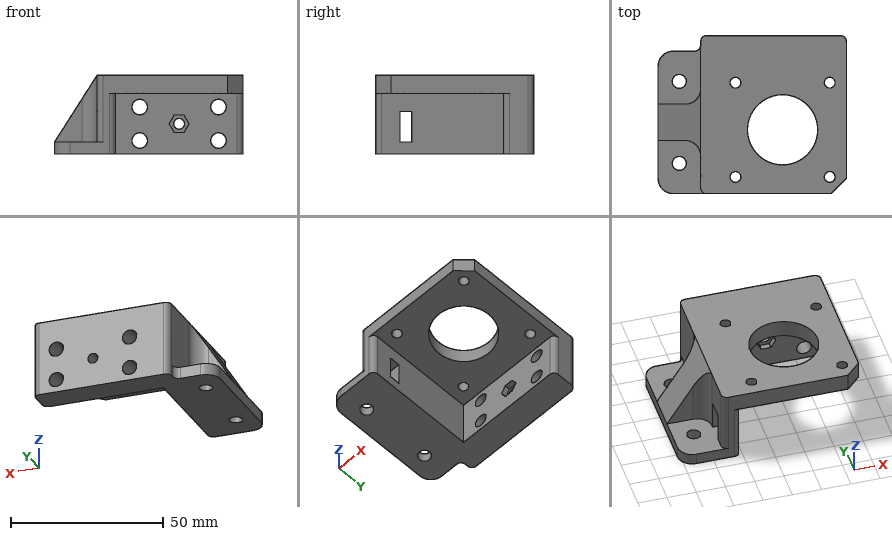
import cadquery as cq

LENGTH = 62.0
WIDTH = 52.0
HEIGHT = 26.0

FOOT_THICK = 4.0
FOOT_WIDTH = 46.95
TOP_THICK = 6.0
SIDE_THICK = 6.0
BACK_THICK = 10.0
WALL_X = 14.0
INNER_X = WALL_X + SIDE_THICK
INNER_Y = WIDTH - BACK_THICK
UNDERSIDE_Z = HEIGHT - TOP_THICK

SMALL_RADIUS = 2.0
LARGE_RADIUS = 5.0
CHAMFER = 5.0

MOTOR_X = 41.0
MOTOR_Y = 21.0
MOTOR_PITCH = 31.0
MOTOR_BORE = 23.0
SCREW_HOLE = 3.5

FOOT_HOLE = 4.5
FOOT_HOLE_X = WALL_X / 2
FOOT_HOLE_PITCH = 27.0
FOOT_MID_Y = FOOT_WIDTH / 2
RIB_WIDTH = 11.95

BACK_MID_X = 41.0
BACK_MID_Z = 10.0
BACK_PITCH_X = 25.9
BACK_PITCH_Z = 11.05
BACK_HOLE = 5.0
NUT_FLATS = 5.65
NUT_DEPTH = 2.0

WINDOW_Y0 = 5.0
WINDOW_Y1 = 11.85
WINDOW_TOP = 14.0
WINDOW_RADIUS = 6.0 / 2


def block(x0, x1, y0, y1, z0, z1):
    return cq.Workplane("XY").box(x1 - x0, y1 - y0, z1 - z0, centered=False).translate((x0, y0, z0))


def corner_piece(x, y, x_side, y_side, radius, z0, z1):
    """Vertical piece between the corner (x, y) and an arc tangent to the given sides."""
    square = (
        cq.Workplane("XY", origin=(x + x_side * radius / 2, y + y_side * radius / 2, z0))
        .rect(radius, radius)
        .extrude(z1 - z0)
    )
    round_cut = (
        cq.Workplane("XY", origin=(x + x_side * radius, y + y_side * radius, z0))
        .circle(radius)
        .extrude(z1 - z0)
    )
    return square.cut(round_cut)


def make_body():
    """Top plate with a side wall and a back wall, open to the front and right, with rounded wall ends."""
    body = block(WALL_X, LENGTH, 0, WIDTH, 0, HEIGHT)
    body = body.edges("|Z and (<X or >Y)").fillet(SMALL_RADIUS)
    cavity = block(INNER_X, LENGTH, 0, INNER_Y, 0, UNDERSIDE_Z)
    cavity = cavity.union(corner_piece(INNER_X, 0, -1, 1, SMALL_RADIUS, 0, UNDERSIDE_Z))
    cavity = cavity.union(corner_piece(LENGTH, INNER_Y, -1, 1, SMALL_RADIUS, 0, UNDERSIDE_Z))
    body = body.cut(cavity)
    corner = (
        cq.Workplane("XY")
        .polyline([(LENGTH - CHAMFER, 0), (LENGTH, 0), (LENGTH, CHAMFER)])
        .close()
        .extrude(HEIGHT)
    )
    return body.cut(corner)


def make_foot():
    foot = block(0, WALL_X + SMALL_RADIUS, 0, FOOT_WIDTH, 0, FOOT_THICK)
    foot = foot.edges("|Z and <X").fillet(LARGE_RADIUS)
    return foot.union(corner_piece(WALL_X, FOOT_WIDTH, -1, 1, SMALL_RADIUS, 0, FOOT_THICK))


def make_rib():
    """Sloping rib, flared by a fillet on both sides where it meets the side wall."""
    y0 = FOOT_MID_Y - RIB_WIDTH / 2
    y1 = FOOT_MID_Y + RIB_WIDTH / 2
    rib = block(0, INNER_X, y0, y1, 0, HEIGHT)
    rib = rib.union(corner_piece(WALL_X, y0, -1, -1, LARGE_RADIUS, 0, HEIGHT))
    rib = rib.union(corner_piece(WALL_X, y1, -1, 1, LARGE_RADIUS, 0, HEIGHT))
    slope = (
        cq.Workplane("XZ")
        .polyline([(0, 0), (INNER_X, 0), (INNER_X, HEIGHT), (WALL_X, HEIGHT), (0, FOOT_THICK)])
        .close()
        .extrude(-WIDTH)
    )
    return rib.intersect(slope)


def make_window():
    """Opening in the side wall; the wall beside its front edge is rounded outside."""
    window = block(WALL_X, INNER_X, WINDOW_Y0, WINDOW_Y1, FOOT_THICK, WINDOW_TOP)
    pillar = block(WALL_X, INNER_X, 0, WINDOW_Y0 + WINDOW_RADIUS, FOOT_THICK, WINDOW_TOP)
    return window.cut(pillar.edges("|Z and <X and >Y").fillet(WINDOW_RADIUS))


def make_vertical_holes():
    motor = cq.Workplane("XY").center(MOTOR_X, MOTOR_Y)
    bore = motor.circle(MOTOR_BORE / 2).extrude(HEIGHT)
    screws = motor.rect(MOTOR_PITCH, MOTOR_PITCH, forConstruction=True).vertices()
    screws = screws.circle(SCREW_HOLE / 2).extrude(HEIGHT)
    foot = cq.Workplane("XY").center(FOOT_HOLE_X, FOOT_MID_Y).rarray(0.6, FOOT_HOLE_PITCH, 1, 2)
    return bore.union(screws).union(foot.circle(FOOT_HOLE / 2).extrude(FOOT_THICK))


def make_back_holes():
    face = cq.Workplane("XZ", origin=(BACK_MID_X, INNER_Y, BACK_MID_Z))
    corners = face.rarray(BACK_PITCH_X, BACK_PITCH_Z, 2, 2).circle(BACK_HOLE / 2).extrude(-BACK_THICK)
    screw = face.circle(SCREW_HOLE / 2).extrude(-BACK_THICK)
    nut = face.polygon(6, NUT_FLATS, circumscribed=True).extrude(-NUT_DEPTH)
    nut = nut.rotate((BACK_MID_X, 0, BACK_MID_Z), (BACK_MID_X, 1, BACK_MID_Z), 30)
    return corners.union(screw).union(nut)


result = (
    make_body()
    .union(make_foot())
    .union(make_rib())
    .cut(make_window())
    .cut(make_vertical_holes())
    .cut(make_back_holes())
)